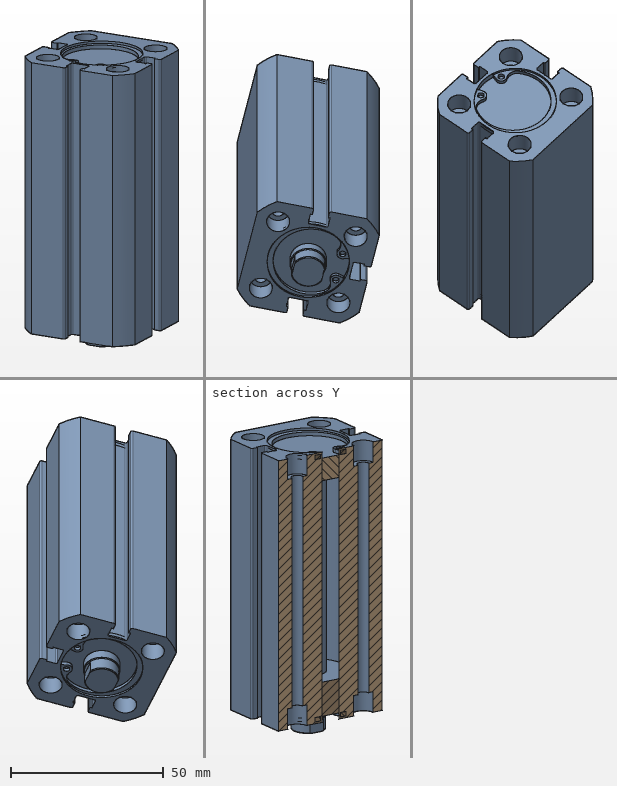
import cadquery as cq
import math


total_height = 99.0
width = 41.0
half_width = width / 2
rod_reach = 6.0
housing_height = total_height - rod_reach
corner_circle_radius = 25.4
bore_radius = 13.5

slot_angles = (0, 180, 270)
slot_mouth_width = 5.3
slot_mouth_depth = 2.4
slot_inner_width = 6.6
slot_depth = 6.0
slot_corner_radius = 0.5
slot_lip_radius = 0.6
slot_floor = half_width - slot_depth

hole_spacing = 26.0
hole_diameter = 4.2
counterbore_diameter = 7.5
counterbore_depth = 7.0

ring_recess = 0.8
ring_thickness = 1.3
ring_outer_radius = 14.4
ring_inner_radius = 12.5
ring_offset = bore_radius - ring_inner_radius
lug_radius = 1.9
lug_hole_diameter = 2.1
lug_x = 5.1
lug_y = -10.4
lug_fillet_radius = 3.5

cover_depth = ring_recess + ring_thickness
head_cover_thickness = 7.9
rod_cover_thickness = 11.9

rod_diameter = 12.0
rod_radius = rod_diameter / 2
tip_diameter = 11.4
tip_radius = tip_diameter / 2
collar_length = 1.1
collar_chamfer = rod_radius - tip_radius
tip_chamfer = 0.3
across_flats = 10.0
flat_top_drop = 2.0
flat_slope_height = 0.8


def centred_box(x_size, y_size, x_centre):
    """A bar along the whole housing, centred on Y = 0."""
    return (
        cq.Workplane("XY")
        .center(x_centre, 0)
        .rect(x_size, y_size)
        .extrude(housing_height)
    )


def make_lip_cutter():
    """Cutter that rounds both outer edges of the slot mouth on the +X side."""
    flare_width = slot_mouth_width + 2 * slot_lip_radius
    flare = centred_box(slot_lip_radius, flare_width, half_width - slot_lip_radius / 2)
    lip_rounds = (
        cq.Workplane("XY")
        .pushPoints([(half_width - slot_lip_radius, side * flare_width / 2) for side in (-1, 1)])
        .circle(slot_lip_radius)
        .extrude(housing_height)
    )
    return flare.cut(lip_rounds)


def make_slot():
    """The stepped slot cutter for the +X side, with rounded lips."""
    mouth = centred_box(slot_mouth_depth, slot_mouth_width, half_width - slot_mouth_depth / 2)
    chamber_depth = slot_depth - slot_mouth_depth
    chamber = centred_box(chamber_depth, slot_inner_width, slot_floor + chamber_depth / 2)
    return chamber.edges("|Z and <X").fillet(slot_corner_radius).union(mouth).union(make_lip_cutter())


def point_on_circle(centre, radius, angle):
    return (centre[0] + radius * math.cos(angle), centre[1] + radius * math.sin(angle))


def mirrored(point):
    """The point on the other side of the YZ plane."""
    return (-point[0], point[1])


def make_ring_blank():
    """A C-shaped retaining ring without plier holes, gap toward -Y, standing on Z = 0."""
    axis = (0, 0)
    lug_centre = (lug_x, lug_y)
    inner_centre = (0, -ring_offset)

    lug_distance = math.hypot(lug_x, lug_y)
    end_angle = math.atan2(lug_y, lug_x) - math.asin(lug_radius / lug_distance)
    end_outer = point_on_circle(axis, ring_outer_radius, end_angle)
    end_inner = point_on_circle(axis, math.sqrt(lug_distance**2 - lug_radius**2), end_angle)

    inner_to_fillet = ring_inner_radius - lug_fillet_radius
    lug_to_fillet = lug_radius + lug_fillet_radius
    lug_rise = lug_y + ring_offset
    inner_to_lug = math.hypot(lug_x, lug_rise)
    cosine = (inner_to_fillet**2 + inner_to_lug**2 - lug_to_fillet**2) / (2 * inner_to_fillet * inner_to_lug)
    edge_angle = math.atan2(lug_rise, lug_x) + math.acos(cosine)
    fillet_centre = point_on_circle(inner_centre, inner_to_fillet, edge_angle)
    lug_angle = math.atan2(fillet_centre[1] - lug_y, fillet_centre[0] - lug_x)

    edge_touch = point_on_circle(inner_centre, ring_inner_radius, edge_angle)
    fillet_middle = point_on_circle(fillet_centre, lug_fillet_radius, (edge_angle + lug_angle - math.pi) / 2)
    lug_touch = point_on_circle(lug_centre, lug_radius, lug_angle)
    end_touch_angle = end_angle + 3 * math.pi / 2
    lug_middle = point_on_circle(lug_centre, lug_radius, (lug_angle + end_touch_angle) / 2)

    return (
        cq.Workplane("XY")
        .moveTo(*end_outer)
        .threePointArc((0, ring_outer_radius), mirrored(end_outer))
        .lineTo(*mirrored(end_inner))
        .threePointArc(mirrored(lug_middle), mirrored(lug_touch))
        .threePointArc(mirrored(fillet_middle), mirrored(edge_touch))
        .threePointArc((0, ring_inner_radius - ring_offset), edge_touch)
        .threePointArc(fillet_middle, lug_touch)
        .threePointArc(lug_middle, end_inner)
        .close()
        .extrude(ring_thickness)
    )


def make_retaining_ring(base_z):
    """A retaining ring with a plier hole in each lug."""
    plier_holes = (
        cq.Workplane("XY")
        .pushPoints([(-lug_x, lug_y), (lug_x, lug_y)])
        .circle(lug_hole_diameter / 2)
        .extrude(ring_thickness)
    )
    return make_ring_blank().cut(plier_holes).translate((0, 0, base_z))


def make_mounting_hole():
    """Through-hole cutter with a counterbore at each end."""
    hole = cq.Workplane("XY").circle(hole_diameter / 2).extrude(housing_height)
    counterbore = cq.Workplane("XY").circle(counterbore_diameter / 2).extrude(counterbore_depth)
    upper_counterbore = counterbore.translate((0, 0, housing_height - counterbore_depth))
    return hole.union(counterbore).union(upper_counterbore)


def make_housing(ring_levels):
    body = cq.Workplane("XY").rect(width, width).extrude(housing_height)
    body = body.intersect(cq.Workplane("XY").circle(corner_circle_radius).extrude(housing_height))
    body = body.cut(cq.Workplane("XY").circle(bore_radius).extrude(housing_height))

    slot = make_slot()
    for angle in slot_angles:
        body = body.cut(slot.rotate((0, 0, 0), (0, 0, 1), angle))

    hole = make_mounting_hole()
    for x_side in (-1, 1):
        for y_side in (-1, 1):
            place = (x_side * hole_spacing / 2, y_side * hole_spacing / 2, 0)
            body = body.cut(hole.translate(place))

    ring_seat = make_ring_blank()
    for level in ring_levels:
        body = body.cut(ring_seat.translate((0, 0, level)))
    return body


def make_head_cover():
    """Plain disc that closes the upper end of the bore."""
    base_z = housing_height - cover_depth - head_cover_thickness
    return cq.Workplane("XY", origin=(0, 0, base_z)).circle(bore_radius).extrude(head_cover_thickness)


def make_rod_cover():
    """Disc in the lower end of the bore that the rod slides through."""
    return (
        cq.Workplane("XY", origin=(0, 0, cover_depth))
        .circle(bore_radius)
        .circle(rod_radius)
        .extrude(rod_cover_thickness)
    )


def make_flat_cutter():
    """Cutter for the wrench flat on the -Y side, with a sloping run-out at its top."""
    flat_y = -across_flats / 2
    slope_top = -flat_top_drop + flat_slope_height
    return (
        cq.Workplane("YZ")
        .moveTo(flat_y, -rod_reach)
        .lineTo(flat_y, -flat_top_drop)
        .lineTo(-rod_radius, slope_top)
        .lineTo(-rod_radius, -rod_reach)
        .close()
        .extrude(rod_radius, both=True)
    )


def make_rod():
    """Rod from the head cover to below the housing, with a reduced tip and two wrench flats."""
    upper_end = housing_height - cover_depth - head_cover_thickness
    rod = (
        cq.Workplane("XZ")
        .moveTo(0, upper_end)
        .lineTo(rod_radius, upper_end)
        .lineTo(rod_radius, -collar_length)
        .lineTo(tip_radius, -collar_length - collar_chamfer)
        .lineTo(tip_radius, -rod_reach + tip_chamfer)
        .lineTo(tip_radius - tip_chamfer, -rod_reach)
        .lineTo(0, -rod_reach)
        .close()
        .revolve(360, (0, 0), (0, 1))
    )
    flat = make_flat_cutter()
    return rod.cut(flat).cut(flat.mirror("XZ"))


ring_levels = (ring_recess, housing_height - ring_recess - ring_thickness)

housing = make_housing(ring_levels)
retaining_rings = [make_retaining_ring(level) for level in ring_levels]
head_cover = make_head_cover()
rod_cover = make_rod_cover()
rod = make_rod()

result = cq.Compound.makeCompound(
    [
        housing.val(),
        *[ring.val() for ring in retaining_rings],
        head_cover.val(),
        rod_cover.val(),
        rod.val(),
    ]
)